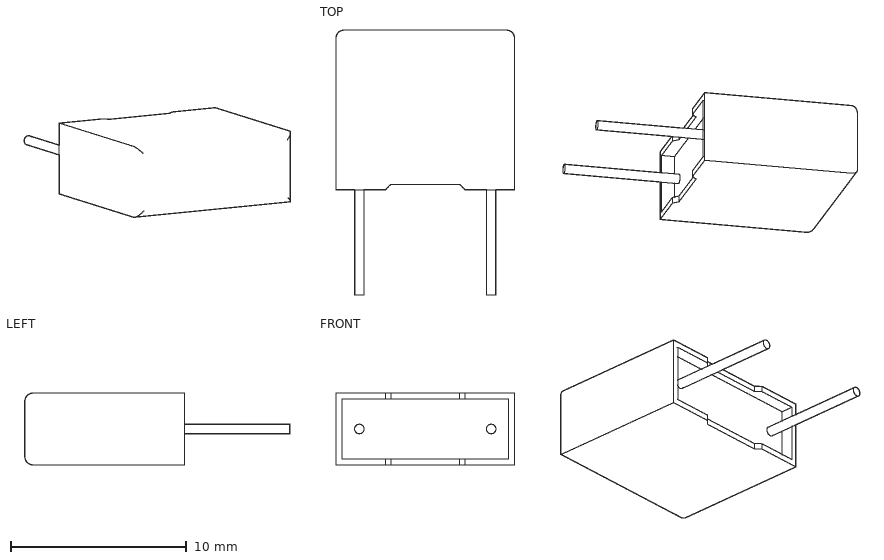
import cadquery as cq

total_length = 15.1
case_width = 10.2
case_height = 4.1
lead_length = 6.0
case_depth = total_length - lead_length

wall = 0.35
edge_radius = 0.5
notch_width = 4.53
notch_depth = 0.3

filler_recess = 0.75
lead_spacing = 7.5
lead_diameter = 0.55

cavity_width = case_width - 2 * wall
cavity_height = case_height - 2 * wall
cavity_depth = case_depth - wall


def box_from_y(width, depth, height, start_y):
    """Box centred in X and Z that extends toward +Y from start_y."""
    box = cq.Workplane("XY").box(width, depth, height, centered=(True, False, True))
    return box.translate((0, start_y, 0))


def make_notch():
    """Trapezoidal prism that relieves the rims of both broad walls."""
    outer_x = notch_width / 2
    inner_x = outer_x - notch_depth
    return (
        cq.Workplane("XY")
        .moveTo(-outer_x, 0)
        .lineTo(-inner_x, notch_depth)
        .lineTo(inner_x, notch_depth)
        .lineTo(outer_x, 0)
        .close()
        .extrude(case_height / 2, both=True)
    )


def make_case():
    """Open box with rounded closed-end edges and a notch in each broad wall."""
    shell = box_from_y(case_width, case_depth, case_height, 0)
    shell = shell.faces(">Y").edges().fillet(edge_radius)
    cavity = box_from_y(cavity_width, cavity_depth, cavity_height, 0)
    return shell.cut(cavity).cut(make_notch())


def make_filler():
    """Solid block filling the cavity up to the recessed face."""
    return box_from_y(cavity_width, cavity_depth - filler_recess, cavity_height, filler_recess)


def make_lead(x):
    """Round wire running from the filler face out through the open end."""
    wire = cq.Workplane("XZ").center(x, 0).circle(lead_diameter / 2)
    return wire.extrude(lead_length + filler_recess).translate((0, filler_recess, 0))


case = make_case()
filler = make_filler()
leads = [make_lead(side * lead_spacing / 2) for side in (-1, 1)]

result = cq.Compound.makeCompound([case.val(), filler.val(), *[lead.val() for lead in leads]])